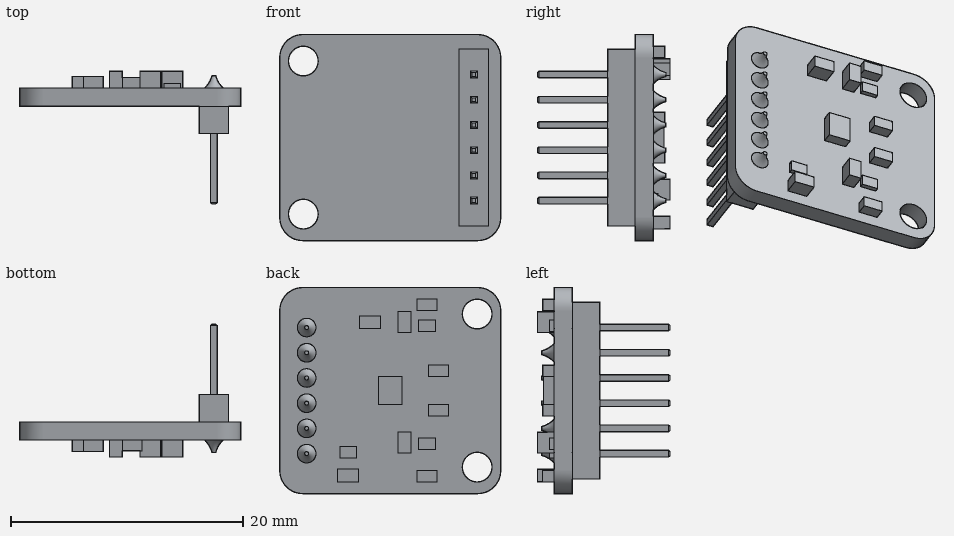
import cadquery as cq


board_width = 19.05
board_height = 17.77
board_thickness = 1.58
corner_radius = 2.0
hole_diameter = 2.53
hole_x = -7.49
hole_z = 6.6

pin_count = 6
pin_pitch = 2.17
pin_size = 0.6
pin_length = 6.05
pin_chamfer = 0.13
header_x = 7.2
header_width = 2.53
header_length = 15.24
header_depth = 2.36

solder_base_radius = 0.8
solder_mid_radius = 0.38
solder_tip_radius = 0.17
solder_height = 1.07

capacitor = (1.71, 1.0, 1.0)
resistor = (1.45, 1.0, 0.38)
sensor = (2.0, 2.42, 0.91)
transistor_upright = (1.1, 1.81, 1.45)
transistor_flat = (1.81, 1.1, 1.45)

outer_x = -3.16
capacitor_centres = [(outer_x, 7.4), (-4.15, 1.7), (-4.15, -1.7), (outer_x, -7.4)]
resistor_centres = [(outer_x, 5.58), (outer_x, -4.57), (3.62, -5.3)]
sensor_centres = [(0, 0)]
transistor_upright_centres = [(-1.24, 5.89), (-1.24, -4.48)]
transistor_flat_centres = [(1.73, 5.89), (3.62, -7.32)]


def block(centre, width, height, y_start, y_end):
    """Box centred on an (X, Z) point and reaching from y_start to y_end."""
    x, z = centre
    middle = (x, (y_start + y_end) / 2, z)
    return cq.Workplane("XY").box(width, y_end - y_start, height).translate(middle)


def make_board():
    """Rounded plate with two mounting holes on the left."""
    plate = block((0, 0), board_width, board_height, 0, board_thickness)
    plate = plate.edges("|Y").fillet(corner_radius)
    holes = (
        cq.Workplane("XZ")
        .pushPoints([(hole_x, hole_z), (hole_x, -hole_z)])
        .circle(hole_diameter / 2)
        .extrude(-board_thickness)
    )
    return plate.cut(holes)


def make_pin(z):
    """Square pin with a chamfered free end."""
    pin = block((header_x, z), pin_size, pin_size, -header_depth - pin_length, 0)
    return pin.faces("<Y").chamfer(pin_chamfer)


def make_solder_cone(z):
    """Concave solder cone on the back face, revolved about the pin axis."""
    return (
        cq.Workplane("XY")
        .lineTo(solder_base_radius, 0)
        .threePointArc((solder_mid_radius, solder_height / 2), (solder_tip_radius, solder_height))
        .lineTo(0, solder_height)
        .close()
        .revolve(360, (0, 0), (0, 1))
        .translate((header_x, board_thickness, z))
    )


result = make_board()
result = result.union(block((header_x, 0), header_width, header_length, -header_depth, 0))

for index in range(pin_count):
    pin_z = (index - (pin_count - 1) / 2) * pin_pitch
    result = result.union(make_pin(pin_z)).union(make_solder_cone(pin_z))

component_groups = [
    (capacitor, capacitor_centres),
    (resistor, resistor_centres),
    (sensor, sensor_centres),
    (transistor_upright, transistor_upright_centres),
    (transistor_flat, transistor_flat_centres),
]
for (width, height, depth), centres in component_groups:
    for centre in centres:
        body = block(centre, width, height, board_thickness, board_thickness + depth)
        result = result.union(body)